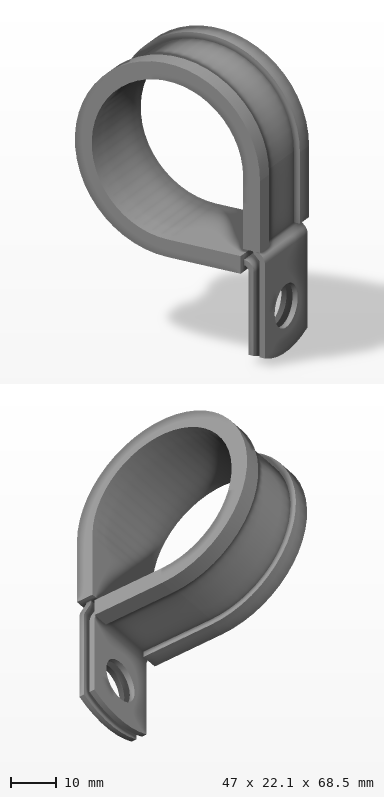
import cadquery as cq
import math

outer_radius = 23.3
cushion_thickness = 4.25
cushion_width = 22.1
bottom_leg_end_x = 18.45
side_leg_end_z = -17.2

groove_width = 13.85
groove_depth = 1.5
groove_radius = outer_radius - groove_depth

strap_thickness = 1.3
strap_width = 19.2
strap_radius = groove_radius - strap_thickness / 2
jog_radius = 1.45
jog_angle = math.radians(45)

overall_height = 68.5
tab_bottom_z = outer_radius - overall_height
tab_gap = 1.5
outer_tab_face_x = 23.7
outer_tab_x = outer_tab_face_x - strap_thickness / 2
inner_tab_x = outer_tab_x - tab_gap - strap_thickness
tab_end_rise = 2.1
hole_diameter = 10.35
hole_z = -34.1


def loop_outline(radius, thickness, width):
    """Three-quarter loop with its legs, centred on Y = 0."""
    inside = radius - thickness
    return (
        cq.Workplane("XZ")
        .moveTo(bottom_leg_end_x, -radius)
        .lineTo(0, -radius)
        .threePointArc((-radius * math.sqrt(0.5), radius * math.sqrt(0.5)), (radius, 0))
        .lineTo(radius, side_leg_end_z)
        .lineTo(inside, side_leg_end_z)
        .lineTo(inside, 0)
        .threePointArc((-inside * math.sqrt(0.5), inside * math.sqrt(0.5)), (0, -inside))
        .lineTo(bottom_leg_end_x, -inside)
        .close()
        .extrude(width / 2, both=True)
    )


def make_cushion():
    body = loop_outline(outer_radius, cushion_thickness, cushion_width)
    groove = loop_outline(outer_radius, groove_depth, groove_width)
    return body.cut(groove)


def make_strap():
    bend_shift = jog_radius * (1 - math.cos(jog_angle))
    bend_drop = jog_radius * math.sin(jog_angle)
    jog_straight_x = outer_tab_x - strap_radius - 2 * bend_shift
    jog_straight_z = jog_straight_x / math.tan(jog_angle)
    jog_end_z = side_leg_end_z - 2 * bend_drop - jog_straight_z
    corner_x = bottom_leg_end_x
    corner_radius = inner_tab_x - corner_x
    corner_z = -strap_radius - corner_radius
    corner_mid = corner_radius * math.sqrt(0.5)
    half_shift = jog_radius * (1 - math.cos(jog_angle / 2))
    half_drop = jog_radius * math.sin(jog_angle / 2)
    path = (
        cq.Workplane("XZ")
        .moveTo(inner_tab_x, tab_bottom_z)
        .lineTo(inner_tab_x, corner_z)
        .threePointArc((corner_x + corner_mid, corner_z + corner_mid), (corner_x, -strap_radius))
        .lineTo(0, -strap_radius)
        .threePointArc(
            (-strap_radius * math.sqrt(0.5), strap_radius * math.sqrt(0.5)),
            (strap_radius, 0),
        )
        .lineTo(strap_radius, side_leg_end_z)
        .threePointArc(
            (strap_radius + half_shift, side_leg_end_z - half_drop),
            (strap_radius + bend_shift, side_leg_end_z - bend_drop),
        )
        .lineTo(outer_tab_x - bend_shift, jog_end_z + bend_drop)
        .threePointArc(
            (outer_tab_x - half_shift, jog_end_z + half_drop),
            (outer_tab_x, jog_end_z),
        )
        .lineTo(outer_tab_x, tab_bottom_z)
    )
    return (
        cq.Workplane("XY", origin=(inner_tab_x, 0, tab_bottom_z))
        .rect(strap_thickness, strap_width)
        .sweep(path)
    )


def tab_end_waste():
    """Material below the shallow arc that rounds the tab ends."""
    half_width = strap_width / 2
    corner_z = tab_bottom_z + tab_end_rise
    return (
        cq.Workplane("YZ")
        .moveTo(-half_width, corner_z)
        .threePointArc((0, tab_bottom_z), (half_width, corner_z))
        .lineTo(half_width, tab_bottom_z)
        .lineTo(-half_width, tab_bottom_z)
        .close()
        .extrude(outer_radius * 2)
    )


def bolt_hole():
    return (
        cq.Workplane("YZ", origin=(0, 0, hole_z))
        .circle(hole_diameter / 2)
        .extrude(outer_radius * 2)
    )


strap = make_strap().cut(tab_end_waste()).cut(bolt_hole())
result = make_cushion().union(strap)